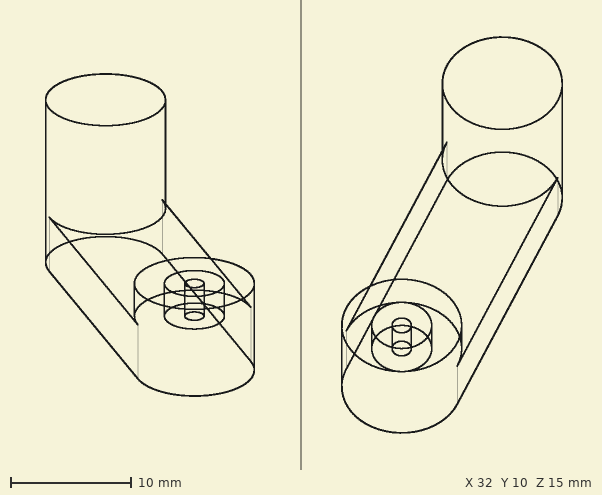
import cadquery as cq

overall_length = 32.0
arm_width = 10.0
arm_thickness = 5.0
post_height = 15.0
boss_height = 8.0
socket_diameter = 5.0
pin_diameter = 1.6

end_spacing = overall_length - arm_width
socket_depth = boss_height - arm_thickness


def cylinder(x, base_z, diameter, height):
    """Upright cylinder on the arm's centre line."""
    return cq.Workplane("XY", origin=(x, 0, base_z)).circle(diameter / 2).extrude(height)


arm = cq.Workplane("XY").rect(end_spacing, arm_width).extrude(arm_thickness)
arm = arm.translate((end_spacing / 2, 0, 0))

post = cylinder(0, 0, arm_width, post_height)
boss = cylinder(end_spacing, 0, arm_width, boss_height)

socket = cylinder(end_spacing, arm_thickness, socket_diameter, socket_depth)
pin = cylinder(end_spacing, arm_thickness, pin_diameter, socket_depth)

result = arm.union(post).union(boss).cut(socket).union(pin)